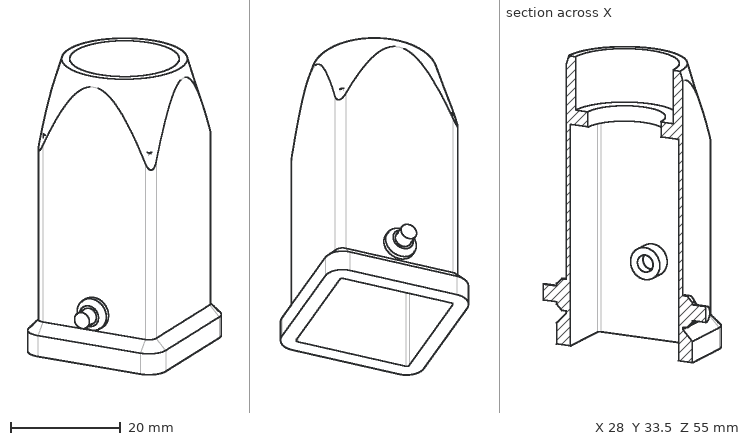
import cadquery as cq
import math

total_height = 55.0
base_width = 28.0
pin_span = 33.5

body_width = 24.1
body_corner_radius = 1.5
base_corner_radius = body_corner_radius + (base_width - body_width) / 2
base_rim_height = 4.05
base_top = 6.1

cone_top_radius = 11.5
cone_angle = 17.0

cavity_width = 22.2
cavity_corner_radius = 0.45
cavity_top = 41.95
entry_radius = 10.0
entry_depth = 10.1
passage_radius = 7.5

pin_height = 9.5
pin_radius = 1.55
boss_radius = 3.0
boss_tip_radius = 2.0
boss_straight_length = 0.9

screw_height = 15.0
screw_head_radius = 3.2
screw_hole_radius = 1.6
screw_boss_radius = 3.0
screw_boss_depth = 3.85


def rounded_square(width, corner_radius, height):
    """Upright square prism standing on the ground plane with rounded corners."""
    return cq.Workplane("XY").rect(width, width).extrude(height).edges("|Z").fillet(corner_radius)


def make_body():
    """Square column whose top is trimmed to a cone."""
    column = rounded_square(body_width, body_corner_radius, total_height)
    cone_foot_radius = cone_top_radius + total_height * math.tan(math.radians(cone_angle))
    cone = cq.Workplane("XY").add(
        cq.Solid.makeCone(cone_foot_radius, cone_top_radius, total_height)
    )
    return column.intersect(cone)


def make_base():
    """Base rim with a sloped shoulder that meets the body."""
    shoulder_run = (base_width - body_width) / 2
    shoulder_rise = base_top - base_rim_height
    base = rounded_square(base_width, base_corner_radius, base_top)
    return base.faces(">Z").chamfer(shoulder_rise, shoulder_run)


def make_pin(side):
    """Stepped pin with a tapered boss; side is +1 or -1 along Y."""
    root = cavity_width / 2
    boss_shoulder = body_width / 2 + boss_straight_length
    boss_tip = base_width / 2
    profile = [
        (0, root),
        (boss_radius, root),
        (boss_radius, boss_shoulder),
        (boss_tip_radius, boss_tip),
        (pin_radius, boss_tip),
        (pin_radius, pin_span / 2),
        (0, pin_span / 2),
    ]
    pin = cq.Workplane("XY").polyline(profile).close().revolve(360, (0, 0), (0, 1))
    if side < 0:
        pin = pin.mirror("XZ")
    return pin.translate((0, 0, pin_height))


def make_interior():
    """Square cavity from below, round passage and wider round cable entry from above."""
    cavity = rounded_square(cavity_width, cavity_corner_radius, cavity_top)
    passage = cq.Workplane("XY").circle(passage_radius).extrude(total_height)
    entry = (
        cq.Workplane("XY")
        .workplane(offset=total_height - entry_depth)
        .circle(entry_radius)
        .extrude(entry_depth)
    )
    return cavity.union(passage).union(entry)


def along_screw(radius):
    """Cylinder on the screw axis, from the outer -X face to the inner end of the boss."""
    return (
        cq.Workplane("YZ", origin=(-body_width / 2, 0, screw_height))
        .circle(radius)
        .extrude(screw_boss_depth)
    )


def make_screw_hole():
    """Through hole with a 45 degree countersink in the outer face."""
    countersink = cq.Solid.makeCone(
        screw_head_radius,
        screw_hole_radius,
        screw_head_radius - screw_hole_radius,
        cq.Vector(-body_width / 2, 0, screw_height),
        cq.Vector(1, 0, 0),
    )
    return along_screw(screw_hole_radius).union(cq.Workplane("XY").add(countersink))


shell = make_base().union(make_body())
for pin_side in (-1, 1):
    shell = shell.union(make_pin(pin_side))

hollow_shell = shell.cut(make_interior())
result = hollow_shell.union(along_screw(screw_boss_radius)).cut(make_screw_hole())